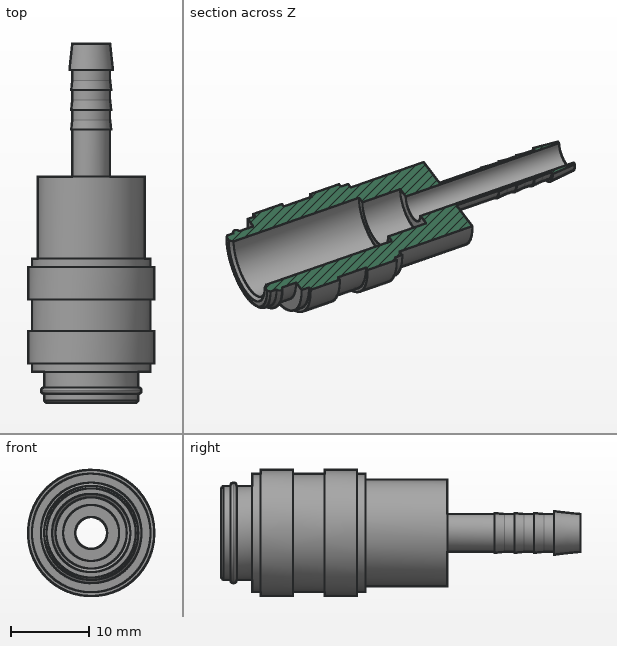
import cadquery as cq

total_length = 46.0

neck_radius = 6.03
neck_length = 4.0
neck_chamfer = 0.3
bead_radius = 0.4
bead_position = 1.6

sleeve_radius = 7.6
sleeve_end = 18.5
ring_radius = 8.1
ring_width = 4.2
ring_starts = (5.05, 13.25)

body_radius = 6.85
body_end = 29.0
stem_radius = 2.45

barb_radius = 2.58
barb_length = 1.25
first_barb = 35.0
barb_pitch = 2.55
barb_count = 3
tip_barb_radius = 2.8
tip_barb_length = 3.4

socket_radius = 4.55
socket_depth = sleeve_end
mouth_radius = 5.0
mouth_depth = mouth_radius - socket_radius
seat_radius = 3.6
seat_depth = 23.9
passage_radius = 2.02


def cylinder(radius, start, end):
    """Solid cylinder on the Y axis between two positions."""
    return cone(radius, radius, start, end)


def cone(start_radius, end_radius, start, end):
    """Solid cone frustum on the Y axis between two positions."""
    profile = [(0, start), (start_radius, start), (end_radius, end), (0, end)]
    return cq.Workplane("XY").polyline(profile).close().revolve(360, (0, 0, 0), (0, 1, 0))


def make_neck():
    """Chamfered neck with a round retaining bead."""
    neck = cylinder(neck_radius, 0, neck_length).faces("<Y").chamfer(neck_chamfer)
    bead = (
        cq.Workplane("XY")
        .center(neck_radius, bead_position)
        .circle(bead_radius)
        .revolve(360, (-neck_radius, 0, 0), (-neck_radius, 1, 0))
    )
    return neck.union(bead)


def make_sleeve():
    """Sleeve carrying the raised grip rings."""
    sleeve = cylinder(sleeve_radius, neck_length, sleeve_end)
    for start in ring_starts:
        sleeve = sleeve.union(cylinder(ring_radius, start, start + ring_width))
    return sleeve


def make_stem():
    """Hose stem with small barbs and a longer barb at its tip."""
    stem = cylinder(stem_radius, body_end, total_length)
    for index in range(barb_count):
        start = first_barb + index * barb_pitch
        stem = stem.union(cone(barb_radius, stem_radius, start, start + barb_length))
    tip_start = total_length - tip_barb_length
    return stem.union(cone(tip_barb_radius, stem_radius, tip_start, total_length))


def make_bore():
    """Socket with a tapered mouth, a seat and a through passage."""
    mouth = cone(mouth_radius, socket_radius, 0, mouth_depth)
    socket = cylinder(socket_radius, 0, socket_depth)
    seat = cylinder(seat_radius, 0, seat_depth)
    passage = cylinder(passage_radius, 0, total_length)
    return mouth.union(socket).union(seat).union(passage)


body = cylinder(body_radius, sleeve_end, body_end)
result = make_neck().union(make_sleeve()).union(body).union(make_stem()).cut(make_bore())